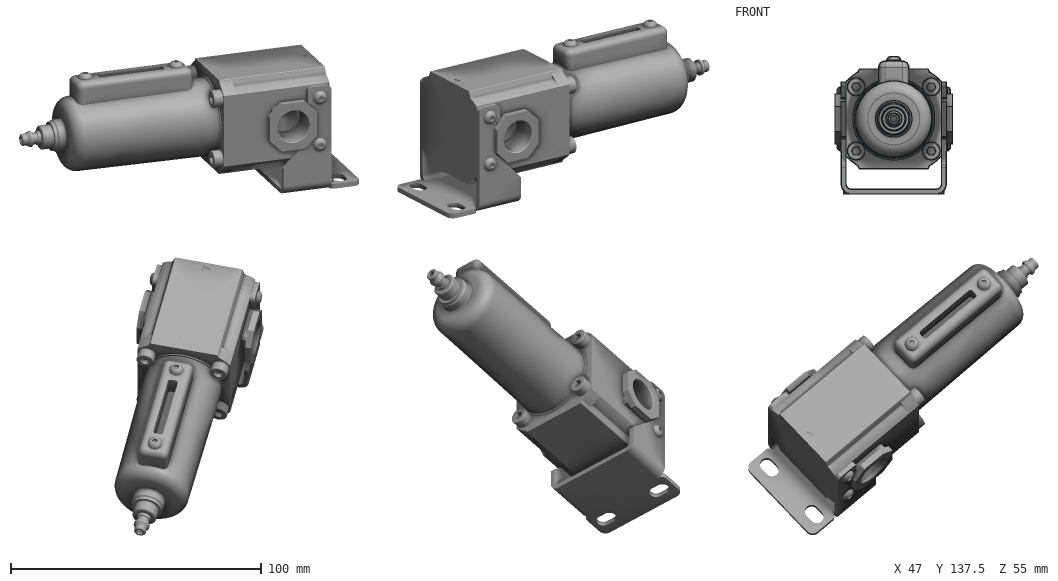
import cadquery as cq
import math


head_half_width = 19.0
head_half_height = 20.0
head_back = 17.0
flange_back = -22.7
rail_half_width = 13.4
rail_step_x = 14.8
rail_step_z = 17.2
shoulder_z = 15.0
shoulder_radius = 10.0
rail_edge_radius = 0.5
arrow_tail_x, arrow_tip_x = -2.0, 1.5
arrow_y = 14.1
arrow_half_height = 1.35
arrow_depth = 0.3

port_face = 23.5
port_half = 10.0
port_corner = 5.0
port_neck_half = 8.0
port_mouth_radius = 6.9
port_mouth_depth = 0.4
thread_radius = 6.6
drill_radius = 5.6
thread_depth = 11.0
drill_tip_half_angle = 59.0

flange_front = -28.1
flange_step_x = 14.4
flange_step_z = 18.7
flange_shoulder_radius = 24.0
collar_radius = 16.4
collar_thickness = 0.5
bolt_x, bolt_z = 15.0, 12.8
bolt_head_radius = 3.55
bolt_head_height = 3.8
bolt_edge = 0.3
bolt_socket_width = 3.2
bolt_socket_depth = 2.0

bowl_start = flange_front - collar_thickness
bowl_top_radius = 15.75
bowl_bottom_radius = 15.1
bowl_end = -90.3
bowl_round = 4.8

gauge_half_width = 6.05
gauge_back, gauge_front = -36.1, -85.4
gauge_top = 23.1
gauge_round = 2.5
slot_half_width = 2.0
slot_back, slot_front = -46.8, -74.8
slot_corner = 1.0
gauge_screw_inset = 5.3
gauge_screw_height = 1.9

button_radius = 2.85
button_rim = 0.4
button_dome_radius = 2.2
button_flat_radius = 1.35
button_socket_width = 2.1
button_socket_depth = 1.2
shank_radius = 1.5
shank_length = 6.0

sheet = 2.0
bracket_outer = head_half_width + sheet
bracket_bottom = -30.0
bracket_floor = bracket_bottom + sheet
bracket_bend = 4.0
bracket_top = 14.8
tab_front = 7.0
notch_y = 9.0
notch_sum = 15.5
foot_front = -3.3
tab_round = 2.0
knee_round = 1.6
tail_half_width = 20.0
tail_back = 30.0
tail_back_round = 3.0
tail_neck_round = 2.0
slot_x, slot_y = 13.45, 23.0
slot_length, slot_width = 8.6, 5.5
screw_y, screw_z = 12.0, 10.0
bracket_screw_height = 1.75

drain_base_radius = 6.5
drain_cove = 0.8
base_end = -93.5
collet_radius = 6.0
collet_start = -94.0
knob_radius = 4.85
knob_start, knob_end = -95.1, -99.7
knob_chamfer = 0.4
nozzle_collar_radius = 2.85
nozzle_radius = 2.4
nozzle_chamfer = 0.3
nozzle_start = -101.0
barb_radius = 3.2
barb_start, barb_end = -103.3, -105.6
barb_land = 0.9
drain_end = -107.5
drain_bore_radius = 1.35
drain_bore_depth = 6.0


def box(x0, x1, y0, y1, z0, z1):
    """Box between two opposite corners."""
    return cq.Workplane("XY").box(x1 - x0, y1 - y0, z1 - z0, centered=False).translate((x0, y0, z0))


def along_y(profile, y_from, y_to):
    """Extrude an XZ workplane profile from y_from down to y_to."""
    return profile.extrude(y_from - y_to).translate((0, y_from, 0))


def corner_prism(step_x, step_z, corner_radius, y_from, y_to):
    """Prism along Y: a central rail stands above rounded shoulders at the top and the bottom."""
    wall_top = (rail_half_width + rail_edge_radius, head_half_height - rail_edge_radius)
    outline = (
        cq.Workplane("XZ")
        .moveTo(0, head_half_height)
        .lineTo(rail_half_width, head_half_height)
        .radiusArc(wall_top, rail_edge_radius)
        .lineTo(step_x, step_z)
        .radiusArc((head_half_width, shoulder_z), corner_radius)
        .lineTo(head_half_width, 0)
        .mirrorX()
        .mirrorY()
    )
    return along_y(outline, y_from, y_to)


def button_screw(button_height):
    """Button-head screw seated on Z = 0 with its head above and its shank below."""
    head = (
        cq.Workplane("XZ")
        .lineTo(button_radius, 0)
        .lineTo(button_radius, button_rim)
        .radiusArc((button_flat_radius, button_height), -button_dome_radius)
        .lineTo(0, button_height)
        .close()
        .revolve(360, (0, 0, 0), (0, 1, 0))
    )
    socket = (
        cq.Workplane("XY")
        .workplane(offset=button_height - button_socket_depth)
        .polygon(6, button_socket_width / math.cos(math.pi / 6))
        .extrude(button_socket_depth)
    )
    shank = cq.Workplane("XY").circle(shank_radius).extrude(-shank_length)
    return head.cut(socket).union(shank)


def port_boss():
    """Octagonal port plate on a narrower neck, on the +X side."""
    neck_chamfer = 2 * port_neck_half - (2 * port_half - port_corner)
    plate = box(bracket_outer, port_face, -port_half, port_half, -port_half, port_half)
    plate = plate.edges("|X").chamfer(port_corner)
    neck = box(0, bracket_outer, -port_neck_half, port_neck_half, -port_neck_half, port_neck_half)
    return plate.union(neck.edges("|X").chamfer(neck_chamfer))


def port_bore():
    """Threaded bore with a countersunk mouth and a conical drill tip, on the +X side."""
    thread_end = port_face - thread_depth
    tip = thread_end - drill_radius / math.tan(math.radians(drill_tip_half_angle))
    return (
        cq.Workplane("XZ")
        .moveTo(port_face, 0)
        .lineTo(port_face, port_mouth_radius)
        .lineTo(port_face - port_mouth_depth, thread_radius)
        .lineTo(thread_end, thread_radius)
        .lineTo(thread_end, drill_radius)
        .lineTo(tip, 0)
        .close()
        .revolve(360, (0, 0, 0), (1, 0, 0))
    )


def build_head(screws):
    """Head block with a port on each X side, a flow arrow and holes for the bracket screws."""
    head = corner_prism(rail_step_x, rail_step_z, shoulder_radius, head_back, flange_back)
    for mirrored in (False, True):
        boss, bore = port_boss(), port_bore()
        if mirrored:
            boss, bore = boss.mirror("YZ"), bore.mirror("YZ")
        head = head.union(boss).cut(bore)
    arrow = (
        cq.Workplane("XY")
        .workplane(offset=head_half_height - arrow_depth)
        .polyline([
            (arrow_tail_x, arrow_y + arrow_half_height),
            (arrow_tip_x, arrow_y),
            (arrow_tail_x, arrow_y - arrow_half_height),
        ])
        .close()
        .extrude(arrow_depth)
    )
    head = head.cut(arrow)
    for screw in screws:
        head = head.cut(screw)
    return head


def build_flange():
    """Clamping flange with a raised seating collar for the bowl and four socket-head bolt heads."""
    flange = corner_prism(flange_step_x, flange_step_z, flange_shoulder_radius, flange_back, flange_front)
    flange = flange.union(along_y(cq.Workplane("XZ").circle(collar_radius), flange_front, bowl_start))
    bolt_end = flange_front - bolt_head_height
    head = along_y(cq.Workplane("XZ").circle(bolt_head_radius), flange_front, bolt_end)
    head = head.faces("<Y").edges().fillet(bolt_edge)
    socket_profile = cq.Workplane("XZ").polygon(6, bolt_socket_width / math.cos(math.pi / 6))
    head = head.cut(along_y(socket_profile, bolt_end + bolt_socket_depth, bolt_end))
    for x in (-bolt_x, bolt_x):
        for z in (-bolt_z, bolt_z):
            flange = flange.union(head.translate((x, 0, z)))
    return flange


def build_bowl():
    """Tapered bowl with the slotted sight gauge with two button screws."""
    shell = (
        cq.Workplane("XY")
        .polyline([
            (0, bowl_start),
            (bowl_top_radius, bowl_start),
            (bowl_bottom_radius, bowl_end),
            (0, bowl_end),
        ])
        .close()
        .revolve(360, (0, 0, 0), (0, 1, 0))
    )
    shell = shell.faces("<Y").edges().fillet(bowl_round)
    gauge = box(-gauge_half_width, gauge_half_width, gauge_front, gauge_back, 0, gauge_top)
    gauge = gauge.edges("|Z").fillet(gauge_round).faces(">Z").edges().fillet(gauge_round)
    slot = box(-slot_half_width, slot_half_width, slot_front, slot_back, 0, gauge_top)
    slot = slot.edges("|Z").fillet(slot_corner)
    bowl = gauge.cut(slot).union(shell)
    for y in (gauge_back - gauge_screw_inset, gauge_front + gauge_screw_inset):
        bowl = bowl.union(button_screw(gauge_screw_height).translate((0, y, gauge_top)))
    return bowl


def build_drain():
    """Stepped drain fitting with a hose barb and a bore in its tip."""
    cove_radius = drain_cove * math.sin(math.pi / 4)
    cove_middle = (
        drain_base_radius + drain_cove - cove_radius,
        bowl_end - drain_cove + cove_radius,
    )
    drain = (
        cq.Workplane("XY")
        .moveTo(0, bowl_end)
        .lineTo(drain_base_radius + drain_cove, bowl_end)
        .threePointArc(cove_middle, (drain_base_radius, bowl_end - drain_cove))
        .lineTo(drain_base_radius, base_end)
        .lineTo(collet_radius, collet_start)
        .lineTo(collet_radius, knob_start)
        .lineTo(knob_radius, knob_start)
        .lineTo(knob_radius, knob_end + knob_chamfer)
        .lineTo(knob_radius - knob_chamfer, knob_end)
        .lineTo(nozzle_collar_radius, knob_end)
        .lineTo(nozzle_collar_radius, nozzle_start)
        .lineTo(nozzle_radius, nozzle_start)
        .lineTo(nozzle_radius, barb_start)
        .lineTo(barb_radius, barb_start)
        .lineTo(barb_radius, barb_start - barb_land)
        .lineTo(nozzle_radius, barb_end)
        .lineTo(nozzle_radius, drain_end + nozzle_chamfer)
        .lineTo(nozzle_radius - nozzle_chamfer, drain_end)
        .lineTo(0, drain_end)
        .close()
        .revolve(360, (0, 0, 0), (0, 1, 0))
    )
    bore_profile = cq.Workplane("XZ").circle(drain_bore_radius)
    return drain.cut(along_y(bore_profile, drain_end + drain_bore_depth, drain_end))


def build_bracket(screws):
    """U-shaped sheet bracket with a slotted tail behind the head."""
    legs = box(-bracket_outer, bracket_outer, foot_front, head_back, bracket_bottom, bracket_top)
    legs = legs.edges("|Y and <Z").fillet(bracket_bend)
    inner = box(
        -head_half_width, head_half_width, foot_front, head_back, bracket_floor, bracket_top,
    )
    legs = legs.cut(inner.edges("|Y and <Z").fillet(bracket_bend - sheet))

    side = (
        cq.Workplane("YZ")
        .polyline([
            (head_back, bracket_bottom),
            (head_back, bracket_top),
            (tab_front, bracket_top),
            (tab_front, notch_sum - tab_front),
            (notch_y, notch_sum - notch_y),
            (notch_y, notch_y - notch_sum),
            (foot_front, foot_front - notch_sum),
            (foot_front, bracket_bottom),
        ])
        .close()
        .extrude(bracket_outer, both=True)
    )
    side = side.edges("|X and >Z").fillet(tab_round)
    knee = cq.selectors.NearestToPointSelector((0, foot_front, foot_front - notch_sum))
    side = side.edges("|X").edges(knee).fillet(knee_round)

    tail = box(-tail_half_width, tail_half_width, head_back, tail_back, bracket_bottom, bracket_floor)
    tail = tail.edges("|Z and >Y").fillet(tail_back_round)
    tail = tail.edges("|Z and <Y").fillet(tail_neck_round)
    slots = (
        cq.Workplane("XY")
        .pushPoints([(-slot_x, slot_y), (slot_x, slot_y)])
        .slot2D(slot_length, slot_width)
        .extrude(sheet)
        .translate((0, 0, bracket_bottom))
    )
    bracket = legs.intersect(side).union(tail).cut(slots)
    for screw in screws:
        bracket = bracket.cut(screw)
    return bracket


def build_bracket_screws():
    """Four screws, two through each bracket leg into the head."""
    screws = []
    for side in (-1, 1):
        screw = button_screw(bracket_screw_height).rotate((0, 0, 0), (0, 1, 0), side * 90)
        for z in (-screw_z, screw_z):
            screws.append(screw.translate((side * bracket_outer, screw_y, z)))
    return screws


bracket_screws = build_bracket_screws()
head = build_head(bracket_screws)
flange = build_flange()
bowl = build_bowl()
drain = build_drain()
bracket = build_bracket(bracket_screws)

result = cq.Compound.makeCompound(
    [head.val(), flange.val(), bowl.val(), drain.val(), bracket.val()]
    + [screw.val() for screw in bracket_screws]
)